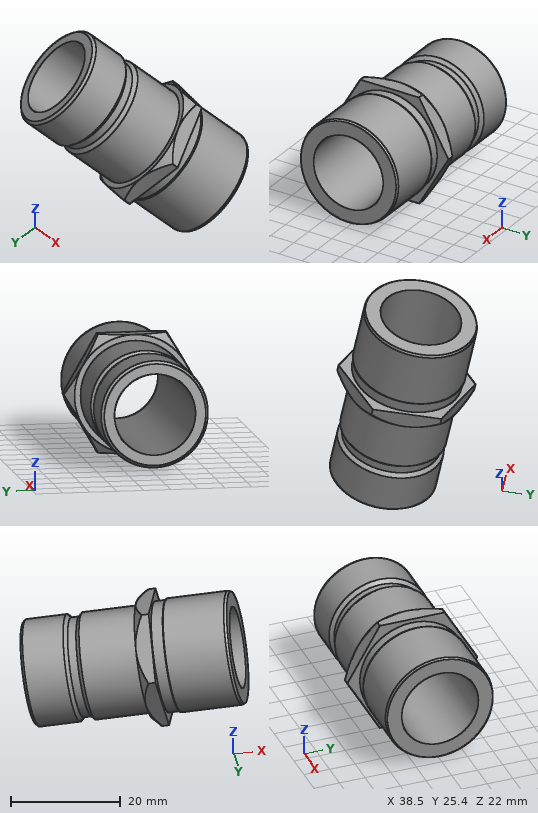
import cadquery as cq
import math

hex_start = 21.5
hex_width = 3.0
hex_end = hex_start + hex_width
collar_start = 26.6
total_length = 38.5

bore_diameter = 15.0
spigot_diameter = 19.8
groove_diameter = 18.4
neck_diameter = 20.5
collar_diameter = 21.0
across_flats = 22.0
across_corners = across_flats / math.cos(math.pi / 6)

groove_start = 8.05
groove_end = 11.0
groove_wall_length = 0.7

spigot_chamfer = 0.5
collar_chamfer_length = 0.5
collar_chamfer_depth = 0.2
collar_edge_break = 0.15


def turned_body():
    """Spigot, groove, neck and collar revolved about the X axis."""
    spigot_radius = spigot_diameter / 2
    groove_radius = groove_diameter / 2
    neck_radius = neck_diameter / 2
    collar_radius = collar_diameter / 2
    profile = [
        (0, 0),
        (0, spigot_radius - spigot_chamfer),
        (spigot_chamfer, spigot_radius),
        (groove_start, spigot_radius),
        (groove_start + groove_wall_length, groove_radius),
        (groove_end - groove_wall_length, groove_radius),
        (groove_end, spigot_radius),
        (hex_start, spigot_radius),
        (hex_start, neck_radius),
        (collar_start, neck_radius),
        (collar_start, collar_radius - collar_edge_break),
        (collar_start + collar_edge_break, collar_radius),
        (total_length - collar_chamfer_length, collar_radius),
        (total_length, collar_radius - collar_chamfer_depth),
        (total_length, 0),
    ]
    return cq.Workplane("XY").polyline(profile).close().revolve(360, (0, 0, 0), (1, 0, 0))


def hexagon():
    """Hexagon with corners on +Y and -Y, its spigot-side corners cut by a 45 degree cone."""
    prism = (
        cq.Workplane("YZ")
        .workplane(offset=hex_start)
        .polygon(6, across_corners)
        .extrude(hex_width)
    )
    flat_radius = across_flats / 2
    cone_profile = [
        (hex_start, 0),
        (hex_start, flat_radius),
        (hex_end, flat_radius + hex_width),
        (hex_end, 0),
    ]
    cone = cq.Workplane("XY").polyline(cone_profile).close().revolve(360, (0, 0, 0), (1, 0, 0))
    return prism.intersect(cone)


def bore():
    """Plain hole through the whole length."""
    return cq.Workplane("YZ").circle(bore_diameter / 2).extrude(total_length)


result = turned_body().union(hexagon()).cut(bore())